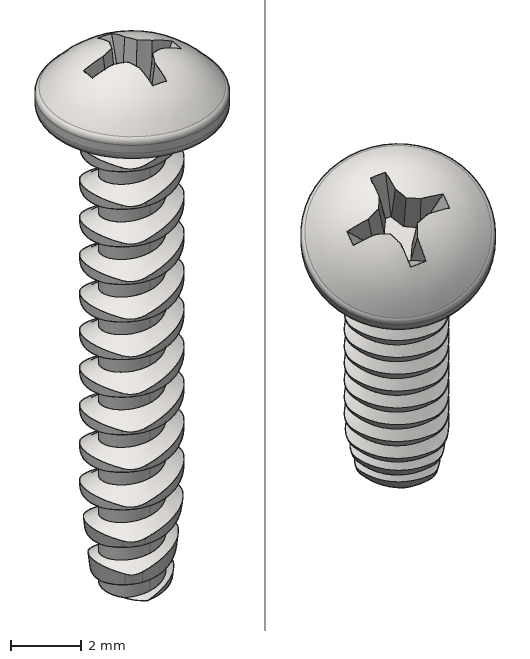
import cadquery as cq
import math

HEAD_DIAMETER = 5.55
HEAD_RADIUS = HEAD_DIAMETER / 2
HEAD_UNDERSIDE_Z = 15.91
UNDERSIDE_RADIUS = 2.66
RIM_BOTTOM_Z = 16.16
RIM_TOP_Z = 16.43
DOME_EDGE_RADIUS = 2.66
DOME_EDGE_Z = 16.65
DOME_RADIUS = 3.43
ROUNDING_BULGE = 0.04

WING_COUNT = 4
RECESS_FLOOR_Z = 16.07
RECESS_TOP_Z = 17.95
FLOOR_WING = {"tip": 0.73, "half_width": 0.09, "root": 0.71, "corner": 0.3}
TOP_WING = {"tip": 1.68, "half_width": 0.27, "root": 0.82, "corner": 0.43}

CORE_RADIUS = 0.96
PITCH = 1.27
FLANK_ANGLE = 30.0
CREST_APEX_RADIUS = 1.68
ROOT_OVERLAP = 0.05
THREAD_PHASE_Z = -0.25

LOBE_COUNT = 3
LOBE_CENTER_DISTANCE = 0.9
LOBE_RADIUS = 0.71
ENVELOPE_WIDTH = 3.0
FLAT_RADIUS = ENVELOPE_WIDTH - LOBE_RADIUS
FIRST_LOBE_ANGLE = 90.0
TAPER_HEIGHT = 2.9
TAPER_INSET = 0.32
SHANK_TOP_Z = RIM_BOTTOM_Z


def polar(radius, degrees, center=(0.0, 0.0)):
    """Point at a distance and direction from a center."""
    angle = math.radians(degrees)
    return (center[0] + radius * math.cos(angle), center[1] + radius * math.sin(angle))


def bulged_midpoint(start, end, bulge):
    """Middle of a chord running up the profile, moved outward by the bulge."""
    dx = end[0] - start[0]
    dz = end[1] - start[1]
    chord = math.hypot(dx, dz)
    return (
        (start[0] + end[0]) / 2 + bulge * dz / chord,
        (start[1] + end[1]) / 2 - bulge * dx / chord,
    )


def head():
    """Pan head: domed top, rounded rim and flat underside."""
    dome_center_z = DOME_EDGE_Z - math.sqrt(DOME_RADIUS**2 - DOME_EDGE_RADIUS**2)
    apex = (0.0, dome_center_z + DOME_RADIUS)
    half_angle = math.degrees(math.asin(DOME_EDGE_RADIUS / DOME_RADIUS)) / 2
    dome_middle = polar(DOME_RADIUS, 90 - half_angle, (0.0, dome_center_z))
    underside_edge = (UNDERSIDE_RADIUS, HEAD_UNDERSIDE_Z)
    rim_bottom = (HEAD_RADIUS, RIM_BOTTOM_Z)
    rim_top = (HEAD_RADIUS, RIM_TOP_Z)
    dome_edge = (DOME_EDGE_RADIUS, DOME_EDGE_Z)
    profile = (
        cq.Workplane("XZ")
        .moveTo(0, HEAD_UNDERSIDE_Z)
        .lineTo(*underside_edge)
        .threePointArc(bulged_midpoint(underside_edge, rim_bottom, ROUNDING_BULGE), rim_bottom)
        .lineTo(*rim_top)
        .threePointArc(bulged_midpoint(rim_top, dome_edge, ROUNDING_BULGE), dome_edge)
        .threePointArc(dome_middle, apex)
        .close()
    )
    return profile.revolve(360, (0, 0, 0), (0, 1, 0))


def cross_outline(wing):
    """Four-winged cross with a corner on each diagonal between the wings."""
    points = []
    for wing_number in range(WING_COUNT):
        turn = 2 * math.pi * wing_number / WING_COUNT
        wing_points = [
            (wing["root"], -wing["half_width"]),
            (wing["tip"], -wing["half_width"]),
            (wing["tip"], wing["half_width"]),
            (wing["root"], wing["half_width"]),
            (wing["corner"], wing["corner"]),
        ]
        for x, y in wing_points:
            points.append((
                x * math.cos(turn) - y * math.sin(turn),
                x * math.sin(turn) + y * math.cos(turn),
            ))
    return points


def recess():
    """Cross recess narrowing from the dome to its flat floor."""
    return (
        cq.Workplane("XY")
        .workplane(offset=RECESS_FLOOR_Z)
        .polyline(cross_outline(FLOOR_WING))
        .close()
        .workplane(offset=RECESS_TOP_Z - RECESS_FLOOR_Z)
        .polyline(cross_outline(TOP_WING))
        .close()
        .loft(ruled=True)
    )


def draw_lobes(plane, inset):
    """Rounded three-lobed outline: a small arc on each lobe, a large arc between lobes."""
    step = 360 / LOBE_COUNT
    half_lobe = step / 4
    lobe_radius = LOBE_RADIUS - inset
    flat_radius = FLAT_RADIUS - inset
    first_center = polar(LOBE_CENTER_DISTANCE, FIRST_LOBE_ANGLE)
    outline = plane.moveTo(*polar(lobe_radius, FIRST_LOBE_ANGLE - half_lobe, first_center))
    for lobe in range(LOBE_COUNT):
        angle = FIRST_LOBE_ANGLE + lobe * step
        center = polar(LOBE_CENTER_DISTANCE, angle)
        next_angle = angle + step
        next_center = polar(LOBE_CENTER_DISTANCE, next_angle)
        outline = outline.threePointArc(
            polar(lobe_radius, angle, center), polar(lobe_radius, angle + half_lobe, center)
        )
        outline = outline.threePointArc(
            polar(flat_radius - LOBE_CENTER_DISTANCE, angle + step / 2),
            polar(lobe_radius, next_angle - half_lobe, next_center),
        )
    return outline.close()


def envelope():
    """Three-lobed prism whose lower end tapers inward toward the tip."""
    tip = draw_lobes(cq.Workplane("XY"), TAPER_INSET)
    taper = draw_lobes(tip.workplane(offset=TAPER_HEIGHT), 0.0).loft(ruled=True)
    prism_plane = cq.Workplane("XY").workplane(offset=TAPER_HEIGHT)
    prism = draw_lobes(prism_plane, 0.0).extrude(SHANK_TOP_Z - TAPER_HEIGHT)
    return taper.union(prism)


def thread():
    """Right-handed V thread, trimmed by the three-lobed envelope."""
    start_z = THREAD_PHASE_Z - PITCH
    turns = math.ceil((SHANK_TOP_Z - start_z) / PITCH)
    root_radius = CORE_RADIUS - ROOT_OVERLAP
    root_half_width = (CREST_APEX_RADIUS - root_radius) * math.tan(math.radians(FLANK_ANGLE))
    path = cq.Wire.makeHelix(PITCH, turns * PITCH, root_radius, center=cq.Vector(0, 0, start_z))
    ridge = (
        cq.Workplane("XZ")
        .moveTo(root_radius, start_z - root_half_width)
        .lineTo(CREST_APEX_RADIUS, start_z)
        .lineTo(root_radius, start_z + root_half_width)
        .close()
        .sweep(cq.Workplane(obj=path), isFrenet=True)
    )
    return ridge.intersect(envelope())


core = cq.Workplane("XY").circle(CORE_RADIUS).extrude(SHANK_TOP_Z)
result = core.union(thread()).union(head()).cut(recess())